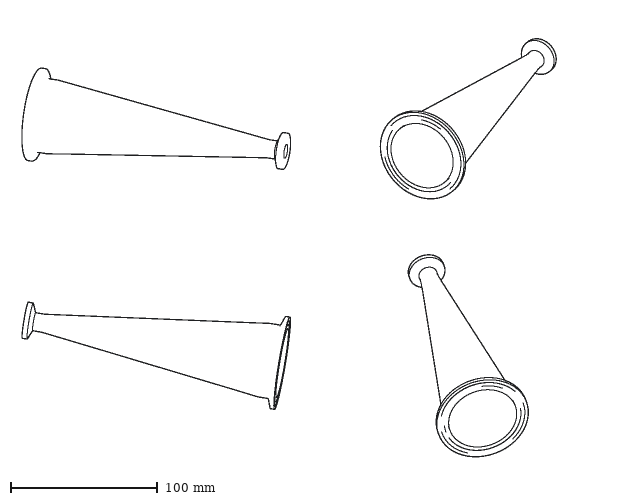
import cadquery as cq
import math

total_length = 177.8
neck_end = 12.6

large_flange_radius = 63.8 / 2
large_pipe_radius = 50.9 / 2
large_bore_radius = 47.5 / 2
large_rim_width = 2.8
large_back_angle = math.radians(20)
large_rim_fillet = 0.5
large_neck_fillet = 1.2

small_flange_radius = 25.0 / 2
small_pipe_radius = 12.6 / 2
small_bore_radius = 9.5 / 2
small_rim_width = 3.5
small_face_fillet = 0.4
small_back_angle = math.radians(23)

groove_center_radius = 28.1
groove_width = 2.8
groove_depth = 1.2
groove_lip_fillet = 0.4

selection_margin = 0.09


def revolve_about_x(profile):
    return profile.close().revolve(360, (0, 0, 0), (1, 0, 0))


def circle_at(x, radius):
    """Selector for the circular edge at one position and radius."""
    inner = radius - selection_margin
    outer = radius + selection_margin
    left = x - selection_margin
    right = x + selection_margin
    within_outer = cq.selectors.BoxSelector((left, -outer, -outer), (right, outer, outer), boundingbox=True)
    within_inner = cq.selectors.BoxSelector((left, -inner, -inner), (right, inner, inner), boundingbox=True)
    return within_outer - within_inner


large_back_length = (large_flange_radius - large_pipe_radius) * math.tan(large_back_angle)
large_back_end = large_rim_width + large_back_length
small_back_length = (small_flange_radius - small_pipe_radius) * math.tan(small_back_angle)
small_rim_start = total_length - small_rim_width
small_back_start = small_rim_start - small_back_length

small_neck_start = total_length - neck_end

body = revolve_about_x(
    cq.Workplane("XY")
    .moveTo(0, 0)
    .lineTo(0, large_flange_radius)
    .lineTo(large_rim_width, large_flange_radius)
    .lineTo(large_back_end, large_pipe_radius)
    .lineTo(neck_end, large_pipe_radius)
    .lineTo(small_neck_start, small_pipe_radius)
    .lineTo(small_back_start, small_pipe_radius)
    .lineTo(small_rim_start, small_flange_radius)
    .lineTo(total_length, small_flange_radius)
    .lineTo(total_length, 0)
)

body = body.edges(circle_at(large_rim_width, large_flange_radius)).fillet(large_rim_fillet)
body = body.edges(circle_at(large_back_end, large_pipe_radius)).fillet(large_neck_fillet)
body = body.edges(circle_at(total_length, small_flange_radius)).fillet(small_face_fillet)

bore = revolve_about_x(
    cq.Workplane("XY")
    .moveTo(0, 0)
    .lineTo(0, large_bore_radius)
    .lineTo(neck_end, large_bore_radius)
    .lineTo(small_neck_start, small_bore_radius)
    .lineTo(total_length, small_bore_radius)
    .lineTo(total_length, 0)
)

groove_inner_radius = groove_center_radius - groove_width / 2
groove_outer_radius = groove_center_radius + groove_width / 2
groove = revolve_about_x(
    cq.Workplane("XY")
    .moveTo(0, groove_inner_radius)
    .threePointArc((groove_depth, groove_center_radius), (0, groove_outer_radius))
)

result = body.cut(bore).cut(groove)
for lip_radius in (groove_outer_radius, groove_inner_radius):
    result = result.edges(circle_at(0, lip_radius)).fillet(groove_lip_fillet)